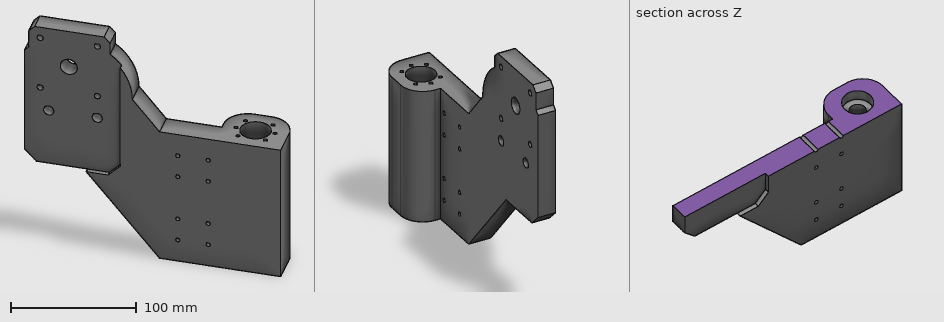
import cadquery as cq
import math

LENGTH = 212.26
HEIGHT = 199.31
PLATE_THICKNESS = 20.0

BLOCK_LENGTH = 99.8
BLOCK_HEIGHT = 120.0
BLOCK_LEFT = LENGTH - BLOCK_LENGTH
SLOPE_ANGLE = 49.8

MOTOR_PLATE_WIDTH = 80.0
MOTOR_PLATE_BOTTOM = 71.6
RECESS_DEPTH = 4.0
LOWER_CHAMFER = 10.0

TAB_LEFT = 3.4
TAB_WIDTH = 67.2
TAB_RIGHT = TAB_LEFT + TAB_WIDTH
TAB_CHAMFER = 5.0
SHOULDER_TOP = 178.9

SHOULDER_RADIUS = 45.0
SHOULDER_X = 45.0
SHOULDER_Z = 146.8

SHAFT_X = 36.53
SHAFT_Z = 165.8
SHAFT_DIAMETER = 14.0
MOTOR_BOLT_PITCH = 47.14
MOTOR_BOLT_DIAMETER = 5.0
LARGE_HOLE_DIAMETER = 8.4
LARGE_HOLE_PITCH = 40.0
LARGE_HOLE_Z = 121.6

SMALL_HOLE_DIAMETER = 3.4
SMALL_HOLE_OFFSETS_X = (15.0, 40.0)
SMALL_HOLE_OFFSETS_Z = (20.0, 40.0)

BOSS_WIDTH = 54.0
BOSS_DEPTH = 45.0
BOSS_RADIUS = 20.0
BORE_X = LENGTH - BOSS_WIDTH / 2
BORE_Y = BOSS_DEPTH / 2
BORE_DIAMETER = 14.0
COUNTERBORE_DIAMETER = 25.0
COUNTERBORE_DEPTH = 30.0
FLANGE_BOLT_RADIUS = 16.0
FLANGE_BOLT_DIAMETER = 3.0
FLANGE_BOLT_DEPTH = 10.0
FLANGE_BOLT_ANGLES = (0, 45, 135, 180, 225, 315)


def front_plane(y):
    """Sketch plane at depth y with axes X and Z; extrusions run toward the front."""
    return cq.Workplane("XZ", origin=(0, y, 0))


def shoulder_point(angle):
    """Point on the shoulder arc at an angle measured from +X."""
    return (
        SHOULDER_X + SHOULDER_RADIUS * math.cos(angle),
        SHOULDER_Z + SHOULDER_RADIUS * math.sin(angle),
    )


def make_plate():
    """Plate outline of block, sloped arm, rounded shoulder and motor plate.

    The lower arm edge has SLOPE_ANGLE; the upper one runs nearly parallel to it.
    """
    run_per_rise = 1 / math.tan(math.radians(SLOPE_ANGLE))
    arm_bottom_x = BLOCK_LEFT - MOTOR_PLATE_BOTTOM * run_per_rise
    arc_end_angle = math.acos((TAB_RIGHT - SHOULDER_X) / SHOULDER_RADIUS)
    arc_start = shoulder_point(0)
    arc_middle = shoulder_point(arc_end_angle / 2)
    arc_end = shoulder_point(arc_end_angle)
    outline = (
        front_plane(PLATE_THICKNESS)
        .moveTo(BLOCK_LEFT, 0)
        .lineTo(LENGTH, 0)
        .lineTo(LENGTH, BLOCK_HEIGHT)
        .lineTo(BLOCK_LEFT, BLOCK_HEIGHT)
        .lineTo(*arc_start)
        .threePointArc(arc_middle, arc_end)
        .lineTo(TAB_RIGHT, HEIGHT - TAB_CHAMFER)
        .lineTo(TAB_RIGHT - TAB_CHAMFER, HEIGHT)
        .lineTo(TAB_LEFT + TAB_CHAMFER, HEIGHT)
        .lineTo(TAB_LEFT, HEIGHT - TAB_CHAMFER)
        .lineTo(TAB_LEFT, SHOULDER_TOP)
        .lineTo(0, SHOULDER_TOP - TAB_LEFT)
        .lineTo(0, MOTOR_PLATE_BOTTOM + LOWER_CHAMFER)
        .lineTo(LOWER_CHAMFER, MOTOR_PLATE_BOTTOM)
        .lineTo(arm_bottom_x, MOTOR_PLATE_BOTTOM)
        .close()
    )
    return outline.extrude(PLATE_THICKNESS)


def make_recess():
    """Shallow cut that sets the front of the motor plate back from the block."""
    return (
        front_plane(RECESS_DEPTH)
        .moveTo(0, MOTOR_PLATE_BOTTOM)
        .lineTo(MOTOR_PLATE_WIDTH - LOWER_CHAMFER, MOTOR_PLATE_BOTTOM)
        .lineTo(MOTOR_PLATE_WIDTH, MOTOR_PLATE_BOTTOM + LOWER_CHAMFER)
        .lineTo(MOTOR_PLATE_WIDTH, HEIGHT)
        .lineTo(0, HEIGHT)
        .close()
        .extrude(RECESS_DEPTH)
    )


def make_boss():
    """Full-height boss with two rounded rear corners."""
    return (
        cq.Workplane("XY")
        .box(BOSS_WIDTH, BOSS_DEPTH, BLOCK_HEIGHT, centered=False)
        .translate((LENGTH - BOSS_WIDTH, 0, 0))
        .edges("|Z and >Y")
        .fillet(BOSS_RADIUS)
    )


def plate_holes(points, diameter):
    """Cylinders along Y through the plate at the given (x, z) points."""
    return front_plane(PLATE_THICKNESS).pushPoints(points).circle(diameter / 2).extrude(PLATE_THICKNESS)


def cut_motor_holes(body):
    """Shaft hole, square bolt pattern and the pair of larger holes below it."""
    half_pitch = MOTOR_BOLT_PITCH / 2
    bolts = [
        (SHAFT_X + sx * half_pitch, SHAFT_Z + sz * half_pitch)
        for sx in (-1, 1)
        for sz in (-1, 1)
    ]
    plate_middle = MOTOR_PLATE_WIDTH / 2
    large_holes = [
        (plate_middle + side * LARGE_HOLE_PITCH / 2, LARGE_HOLE_Z)
        for side in (-1, 1)
    ]
    body = body.cut(plate_holes([(SHAFT_X, SHAFT_Z)], SHAFT_DIAMETER))
    body = body.cut(plate_holes(bolts, MOTOR_BOLT_DIAMETER))
    return body.cut(plate_holes(large_holes, LARGE_HOLE_DIAMETER))


def cut_block_holes(body):
    """Two columns of small holes, symmetric about the block's mid-height."""
    points = [
        (BLOCK_LEFT + dx, BLOCK_HEIGHT / 2 + side * dz)
        for dx in SMALL_HOLE_OFFSETS_X
        for dz in SMALL_HOLE_OFFSETS_Z
        for side in (-1, 1)
    ]
    return body.cut(plate_holes(points, SMALL_HOLE_DIAMETER))


def cut_boss_bore(body):
    """Counterbored vertical bore with blind bolt holes around it."""
    bolts = [
        (
            FLANGE_BOLT_RADIUS * math.cos(math.radians(angle)),
            FLANGE_BOLT_RADIUS * math.sin(math.radians(angle)),
        )
        for angle in FLANGE_BOLT_ANGLES
    ]
    top = cq.Workplane("XY", origin=(BORE_X, BORE_Y, BLOCK_HEIGHT))
    bore = top.circle(BORE_DIAMETER / 2).extrude(-BLOCK_HEIGHT)
    counterbore = top.circle(COUNTERBORE_DIAMETER / 2).extrude(-COUNTERBORE_DEPTH)
    bolt_holes = top.pushPoints(bolts).circle(FLANGE_BOLT_DIAMETER / 2).extrude(-FLANGE_BOLT_DEPTH)
    return body.cut(bore).cut(counterbore).cut(bolt_holes)


body = make_plate().cut(make_recess()).union(make_boss())
body = cut_motor_holes(body)
body = cut_block_holes(body)
result = cut_boss_bore(body)